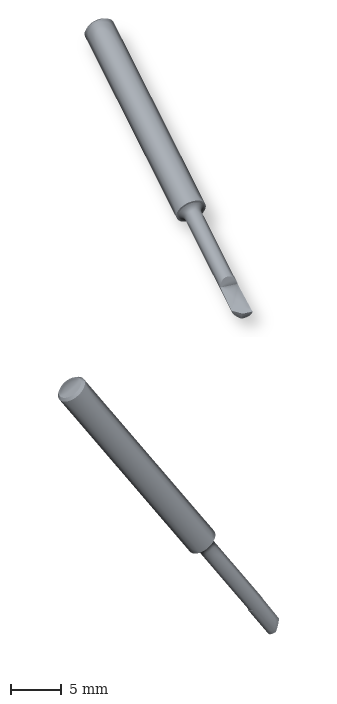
import cadquery as cq
import math

length = 38.1
shank_radius = 1.58
shank_length = 24.4
shank_chamfer = 0.25
neck_radius = 0.895
shoulder_length = 0.7
shoulder_height = 0.42

notch_start = 33.8
flat_start = 34.3
flat_start_height = 0.17
facet_edge_start = 34.67
lip_offset = 0.095
end_setback = 0.1
bevel_start = 37.22
bevel_relief_angle = 0
end_relief_angle = 5.0


def make_round_body():
    """Chamfered shank, concave shoulder and slim neck."""
    arc_radius = (shoulder_length**2 + shoulder_height**2) / (2 * shoulder_height)
    shoulder_end = shank_length + shoulder_length
    profile = (
        cq.Workplane("XY")
        .lineTo(0, shank_radius - shank_chamfer)
        .lineTo(shank_chamfer, shank_radius)
        .lineTo(shank_length, shank_radius)
        .lineTo(shank_length, neck_radius + shoulder_height)
        .radiusArc((shoulder_end, neck_radius), -arc_radius)
        .lineTo(length, neck_radius)
        .lineTo(length, 0)
        .close()
    )
    return profile.revolve(360, (0, 0, 0), (1, 0, 0))


def make_lip():
    """Lip that widens from the neck towards the tip on the +Y side."""
    lip_length = length - flat_start
    outline = (
        cq.Workplane("XY", origin=(0, 0, -neck_radius))
        .moveTo(flat_start, 0)
        .lineTo(flat_start, neck_radius)
        .lineTo(length, neck_radius + lip_offset)
        .lineTo(length, 0)
        .close()
        .extrude(2 * neck_radius)
    )
    rounding = (
        cq.Workplane("YZ", origin=(flat_start, lip_offset, 0))
        .circle(neck_radius)
        .extrude(lip_length)
    )
    return outline.intersect(rounding)


def make_notch():
    """Material above the ramp and the level rake flat, sparing the raised facet."""
    ramp_slope = (flat_start - notch_start) / (neck_radius - flat_start_height)
    notch_top = shank_radius
    ramp_top = notch_start - ramp_slope * (notch_top - neck_radius)
    ramp_foot = flat_start + ramp_slope * flat_start_height
    above_flat = (
        cq.Workplane("XZ")
        .moveTo(ramp_top, notch_top)
        .lineTo(ramp_foot, 0)
        .lineTo(length, 0)
        .lineTo(length, notch_top)
        .close()
        .extrude(shank_radius, both=True)
    )
    return above_flat.cut(make_facet())


def make_facet():
    """Shallow wedge that rises from a diagonal on the flat towards the ramp on the -Y side."""
    run = bevel_start - facet_edge_start
    drop = 2 * neck_radius
    diagonal = math.hypot(run, drop)
    reach = drop * (bevel_start - flat_start) / diagonal
    wedge_scale = 2
    wedge_width = wedge_scale * reach
    wedge_height = wedge_scale * flat_start_height
    across_diagonal = cq.Plane(
        origin=(bevel_start, -neck_radius, 0),
        xDir=(-drop, -run, 0),
        normal=(-run, drop, 0),
    )
    return (
        cq.Workplane(across_diagonal)
        .lineTo(wedge_width, 0)
        .lineTo(wedge_width, wedge_height)
        .close()
        .extrude(2 * diagonal, both=True)
    )


def make_relief(edge_start, edge_end, angle):
    """Block outside a slanted face through a plan edge at Z = 0, leaning inward below it."""
    dx = edge_end[0] - edge_start[0]
    dy = edge_end[1] - edge_start[1]
    size = 4 * shank_radius
    heading = math.degrees(math.atan2(dy, dx))
    return (
        cq.Workplane("XY")
        .box(2 * size, size, 2 * size, centered=(True, False, True))
        .rotate((0, 0, 0), (1, 0, 0), 180 + angle)
        .rotate((0, 0, 0), (0, 0, 1), heading)
        .translate((edge_start[0], edge_start[1], 0))
    )


bevel_corner = (bevel_start, -neck_radius)
end_corner = (length - end_setback, 0)
lip_corner = (length, neck_radius + lip_offset)

result = (
    make_round_body()
    .union(make_lip())
    .cut(make_notch())
    .cut(make_relief(bevel_corner, end_corner, bevel_relief_angle))
    .cut(make_relief(end_corner, lip_corner, end_relief_angle))
)